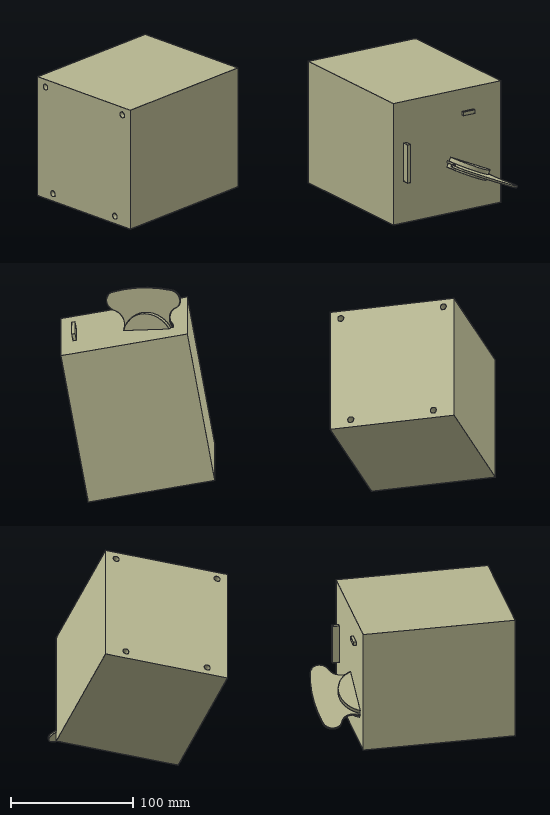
import cadquery as cq
import math

TOTAL_LENGTH = 162
HOUSING_SIDE = 105.0
HOUSING_LENGTH = 127.0
FRONT_Y = -HOUSING_LENGTH / 2
BACK_Y = HOUSING_LENGTH / 2

HOLE_DIAMETER = 5.0
HOLE_DEPTH = 9.7
HOLE_Z = 45.8
UPPER_HOLE_X = 43.4
LOWER_HOLE_X = 35.0

BLOCK_SIZE = (11.0, 2.5, 3.0)
BLOCK_X = -20.1
BLOCK_Z = 31.6
RIB_SIZE = (2.8, 5.8, 33.0)
RIB_X = 41.0
RIB_Z = 0

TILT = 25
PADDLE_X = -20.4
PADDLE_Z = -17.0
PADDLE_THICKNESS = 1.6
HUB_DIAMETER = 45.0
HUB_HEIGHT = 8.7
HUB_INSET = 8.6

BLADE_REACH = TOTAL_LENGTH - HOUSING_LENGTH
LOBE_RADIUS = 16.0 / 2
LOBE_U = 25.5
LOBE_V = 24.1
NECK_RADIUS = 22.0 / 2
NECK_V = 6.2


def back_boss(size, x, z):
    """A box standing on the back face of the housing."""
    return cq.Workplane("XY").box(*size).translate((x, BACK_Y + size[1] / 2, z))


def make_housing():
    body = cq.Workplane("XY").box(HOUSING_SIDE, HOUSING_LENGTH, HOUSING_SIDE)
    hole_points = []
    for side in (-1, 1):
        hole_points.append((side * UPPER_HOLE_X, HOLE_Z))
        hole_points.append((side * LOWER_HOLE_X, -HOLE_Z))
    holes = (
        cq.Workplane("XZ", origin=(0, FRONT_Y, 0))
        .pushPoints(hole_points)
        .circle(HOLE_DIAMETER / 2)
        .extrude(-HOLE_DEPTH)
    )
    body = body.cut(holes)
    body = body.union(back_boss(BLOCK_SIZE, BLOCK_X, BLOCK_Z))
    return body.union(back_boss(RIB_SIZE, RIB_X, RIB_Z))


def make_blade():
    """Blade with two round lobes, tangent to the outer edge and to the hollow neck sides."""
    rise = LOBE_V - NECK_V
    touch_distance = LOBE_RADIUS + NECK_RADIUS
    neck_u = LOBE_U + math.sqrt(touch_distance**2 - rise**2)
    lobe_share = LOBE_RADIUS / touch_distance
    neck_end = (LOBE_U + (neck_u - LOBE_U) * lobe_share, LOBE_V - rise * lobe_share)
    neck_waist = (neck_u - NECK_RADIUS, NECK_V)
    root = (neck_u - math.sqrt(NECK_RADIUS**2 - NECK_V**2), 0)

    drop = BLADE_REACH - LOBE_V
    outer_radius = (LOBE_U**2 + drop**2 - LOBE_RADIUS**2) / (2 * (drop - LOBE_RADIUS))
    outer_centre_v = BLADE_REACH - outer_radius
    outer_scale = outer_radius / (outer_radius - LOBE_RADIUS)
    outer_end = (LOBE_U * outer_scale, outer_centre_v + (LOBE_V - outer_centre_v) * outer_scale)
    lobe_tip = (LOBE_U + LOBE_RADIUS, LOBE_V)

    def left(point):
        return (-point[0], point[1])

    return (
        cq.Workplane("XY", origin=(0, 0, -PADDLE_THICKNESS / 2))
        .moveTo(*root)
        .threePointArc(neck_waist, neck_end)
        .threePointArc(lobe_tip, outer_end)
        .threePointArc((0, BLADE_REACH), left(outer_end))
        .threePointArc(left(lobe_tip), left(neck_end))
        .threePointArc(left(neck_waist), left(root))
        .close()
        .extrude(PADDLE_THICKNESS)
    )


def make_hub():
    """Round hub, cut off flat where it meets the back face."""
    disc = cq.Workplane("XY").circle(HUB_DIAMETER / 2).extrude(HUB_HEIGHT / 2, both=True)
    disc = disc.translate((0, -HUB_INSET, 0))
    outside = cq.Workplane("XY").box(
        HUB_DIAMETER, HUB_DIAMETER, HUB_HEIGHT, centered=(True, False, True)
    )
    return disc.intersect(outside)


def make_paddle():
    paddle = make_blade().union(make_hub())
    paddle = paddle.rotate((0, 0, 0), (0, 1, 0), -TILT)
    return paddle.translate((PADDLE_X, BACK_Y, PADDLE_Z))


housing = make_housing()
paddle = make_paddle()

result = cq.Compound.makeCompound([housing.val(), paddle.val()])